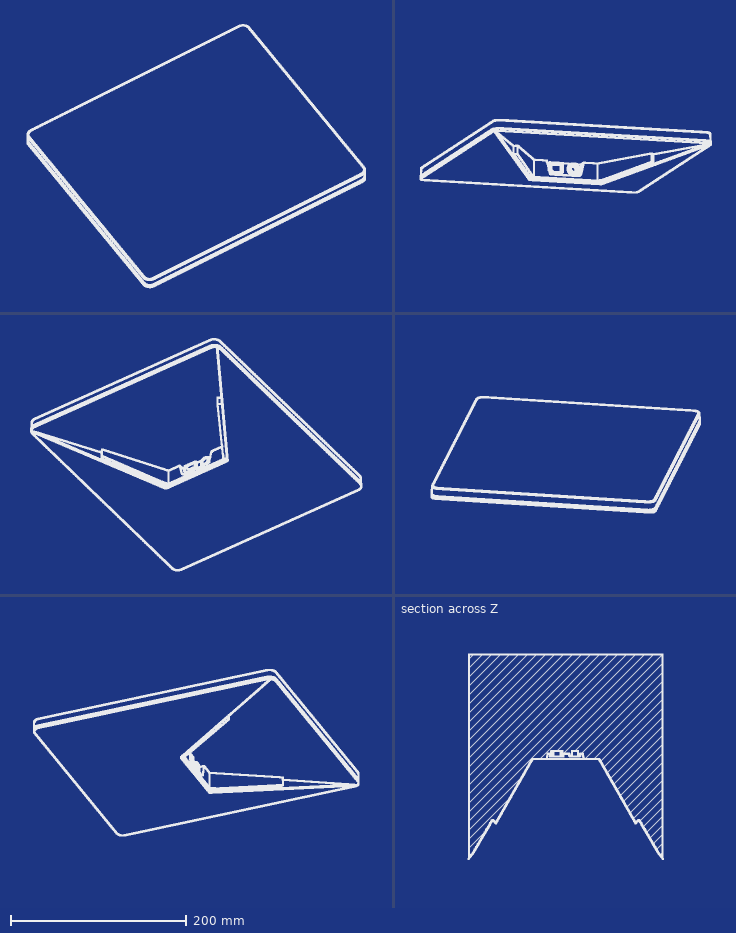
import cadquery as cq

WIDTH = 260.0
LENGTH = 299.0
HEIGHT = 36.8

BASE_BOTTOM = 23.5
BEZEL_BOTTOM = 26.3
CORNER_RADIUS = 8.5
SIDE_LEAN = 0.5
TOP_EDGE_CHAMFER = 1.0
SEAM_CHAMFER = 0.5

COVER_FLAT_WIDTH = 85.0
COVER_FLAT_LENGTH = 10.5
COVER_EDGE_CHAMFER = 1.2

BOX_CORNER_X = 38.0
BOX_OUTER_X = 79.8
JOG_X = 83.5
BOX_SIDE_OFFSET = 6.0
BOX_FRONT_OFFSET = 0.5
BOX_BOTTOM_RISE = 3.5

RECESS_TOP_WIDTH = 44.3
RECESS_BOTTOM_WIDTH = 36.5
RECESS_BOTTOM = 7.8
RECESS_CENTRE_X = -0.5
RECESS_DEPTH = 6.0
RECESS_TAPER = 10
RECESS_CORNER_RADIUS = 3.5

SOCKET_X = -10.2
SOCKET_Z = 16.0
SOCKET_WIDTH = 15.5
SOCKET_HEIGHT = 12.5
SOCKET_WALL = 1.5
SOCKET_CHAMFER = 2.5
JACK_X = 10.5
JACK_Z = 16.5
JACK_DIAMETER = 13.2
JACK_HOLE_DIAMETER = 7.5
JACK_RIM_CHAMFER = 1.2
CONNECTOR_HEIGHT = 3.0
CONNECTOR_HOLE_DEPTH = 6.0

HALF_WIDTH = WIDTH / 2
HALF_LENGTH = LENGTH / 2
HALF_FLAT = COVER_FLAT_WIDTH / 2
BOX_FRONT_Y = -BOX_FRONT_OFFSET


def crest_y(x):
    """Y of the cover's front crest at distance x from the centre line."""
    return -HALF_LENGTH * (x - HALF_FLAT) / (HALF_WIDTH - HALF_FLAT)


def plan_prism(points):
    """Vertical prism below the panel from a plan outline."""
    return cq.Workplane("XY").polyline(points).close().extrude(BASE_BOTTOM)


def mirrored(left_points):
    """Outline from its left half, continued by the mirror image on the right."""
    return left_points + [(-x, y) for x, y in reversed(left_points)]


def footprint(bottom):
    """Rounded panel outline, from the given height up to the top of the base plate."""
    return (
        cq.Workplane("XY", origin=(0, 0, bottom))
        .rect(WIDTH, LENGTH)
        .extrude(BEZEL_BOTTOM - bottom)
        .edges("|Z")
        .fillet(CORNER_RADIUS)
    )


def panel():
    base = footprint(BASE_BOTTOM)
    top_half = HALF_WIDTH - SIDE_LEAN
    bezel = (
        cq.Workplane("XZ", origin=(0, HALF_LENGTH, 0))
        .polyline(mirrored([(-HALF_WIDTH, BEZEL_BOTTOM), (-top_half, HEIGHT)]))
        .close()
        .extrude(LENGTH)
        .edges("not(|X or |Y)")
        .fillet(CORNER_RADIUS)
        .faces(">Z")
        .chamfer(TOP_EDGE_CHAMFER)
        .faces("<Z")
        .chamfer(SEAM_CHAMFER)
    )
    return base.union(bezel)


def roof(rise):
    """Space between the panel and the cover surface, raised by the given height."""
    sides = (
        cq.Workplane("XZ", origin=(0, HALF_LENGTH, rise))
        .polyline(mirrored([(-HALF_WIDTH, BASE_BOTTOM), (-HALF_FLAT, 0)]))
        .close()
        .extrude(LENGTH)
    )
    back_slope = (
        cq.Workplane("YZ", origin=(-HALF_WIDTH, 0, rise))
        .moveTo(-HALF_LENGTH, 0)
        .lineTo(COVER_FLAT_LENGTH, 0)
        .lineTo(HALF_LENGTH, BASE_BOTTOM)
        .lineTo(-HALF_LENGTH, BASE_BOTTOM)
        .close()
        .extrude(WIDTH)
    )
    return sides.intersect(back_slope)


def bevel_cutter(start, end):
    """Diamond bar along one straight run of the crest, which bevels that edge."""
    run = end - start
    level_normal = cq.Vector(-run.y, run.x, 0)
    reach = COVER_EDGE_CHAMFER
    return (
        cq.Workplane(cq.Plane(origin=start, xDir=level_normal, normal=run))
        .polyline([(reach, 0), (0, reach), (-reach, 0), (0, -reach)])
        .close()
        .extrude(run.Length)
    )


def cover():
    outline = mirrored([
        (-HALF_WIDTH, HALF_LENGTH),
        (-HALF_WIDTH, -HALF_LENGTH),
        (-HALF_FLAT, 0),
    ])
    body = roof(0).intersect(plan_prism(outline)).intersect(footprint(0))

    left_corner = cq.Vector(-HALF_FLAT, 0, 0)
    right_corner = cq.Vector(HALF_FLAT, 0, 0)
    left_tip = cq.Vector(-HALF_WIDTH, -HALF_LENGTH, BASE_BOTTOM)
    right_tip = cq.Vector(HALF_WIDTH, -HALF_LENGTH, BASE_BOTTOM)
    for start, end in [(left_tip, left_corner), (left_corner, right_corner), (right_corner, right_tip)]:
        body = body.cut(bevel_cutter(start, end))
    return body


def connector_box():
    side_y = crest_y(BOX_OUTER_X + BOX_SIDE_OFFSET)
    outline = mirrored([
        (-HALF_FLAT, COVER_FLAT_LENGTH),
        (-JOG_X, crest_y(JOG_X)),
        (-BOX_OUTER_X, side_y),
        (-BOX_CORNER_X, BOX_FRONT_Y),
    ])
    return roof(BOX_BOTTOM_RISE).intersect(plan_prism(outline))


def recess():
    half_top = RECESS_TOP_WIDTH / 2
    half_bottom = RECESS_BOTTOM_WIDTH / 2
    outline = mirrored([(-half_top, BASE_BOTTOM), (-half_bottom, RECESS_BOTTOM)])
    return (
        cq.Workplane("XZ", origin=(RECESS_CENTRE_X, BOX_FRONT_Y, 0))
        .polyline(outline)
        .close()
        .extrude(-RECESS_DEPTH, taper=RECESS_TAPER)
        .edges("(not |X) and (not |Z)")
        .edges("<Z")
        .fillet(RECESS_CORNER_RADIUS)
    )


def floor_plane(x, z, depth):
    """Plane facing the front, at the given depth behind the recess floor."""
    return cq.Workplane("XZ", origin=(x, BOX_FRONT_Y + RECESS_DEPTH + depth, z))


def add_socket(body):
    """Square socket: a raised frame with chamfered lower corners around a blind opening."""

    def block(width, height, start, thickness):
        return (
            floor_plane(SOCKET_X, SOCKET_Z, start)
            .rect(width, height)
            .extrude(thickness)
            .edges("|Y and <Z")
            .chamfer(SOCKET_CHAMFER)
        )

    hole_width = SOCKET_WIDTH - 2 * SOCKET_WALL
    hole_height = SOCKET_HEIGHT - 2 * SOCKET_WALL
    shell = block(SOCKET_WIDTH, SOCKET_HEIGHT, 0, CONNECTOR_HEIGHT)
    hole = block(hole_width, hole_height, CONNECTOR_HOLE_DEPTH - CONNECTOR_HEIGHT, CONNECTOR_HOLE_DEPTH)
    return body.union(shell).cut(hole)


def add_jack(body):
    """Round jack: a raised ring with a bevelled rim around a blind hole."""
    shell = (
        floor_plane(JACK_X, JACK_Z, 0)
        .circle(JACK_DIAMETER / 2)
        .extrude(CONNECTOR_HEIGHT)
        .faces("<Y")
        .chamfer(JACK_RIM_CHAMFER)
    )
    hole = (
        floor_plane(JACK_X, JACK_Z, CONNECTOR_HOLE_DEPTH - CONNECTOR_HEIGHT)
        .circle(JACK_HOLE_DIAMETER / 2)
        .extrude(CONNECTOR_HOLE_DEPTH)
    )
    return body.union(shell).cut(hole)


underside = cover().union(connector_box()).cut(recess())
underside = add_jack(add_socket(underside))
result = panel().union(underside)